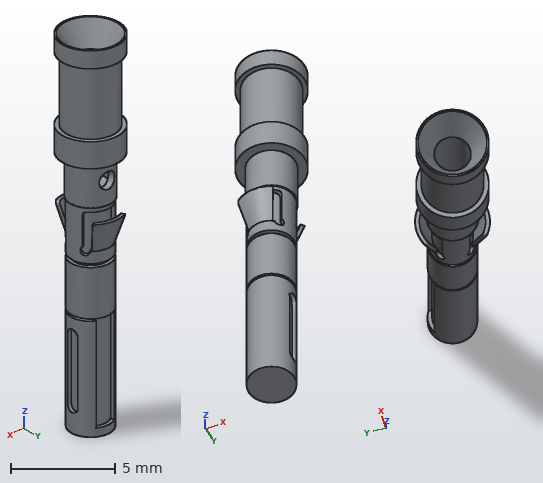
import cadquery as cq
import math

total_length = 21.5
flange_diameter = 3.5
barrel_diameter = 3.0
neck_diameter = 2.54
sleeve_diameter = 2.4
core_diameter = 1.98

end_ring_top = 0.5
socket_sleeve_top = 6.36
collar_bottom = 6.5
collar_top = 9.3
clip_bottom = 9.52
clip_top = 12.6
flange_bottom = 15.03
flange_top = 16.51
rim_bottom = 20.51

funnel_mouth_diameter = 3.31
bore_diameter = 1.76
funnel_angle = 60.0
bore_bottom = 13.33
drill_tip_angle = 118.0
inspection_hole_diameter = 0.99
inspection_hole_height = 13.95

gap_width = 1.16
side_slot_width = 0.73
side_slot_length = 4.55

tab_turn = -5.0
tab_tip_radius = 1.8
tab_top = 11.98
tab_half_angle = 34.0
tab_corner_radius = 0.17
fold_height = 10.2
window_top = 12.35
window_half_angle = 56.0
window_corner_radius = 0.22
relief_diameter = 0.47
relief_half_angle = 50.0

sleeve_radius = sleeve_diameter / 2
core_radius = core_diameter / 2
bore_radius = bore_diameter / 2
axis_start = (0, 0, 0)
axis_end = (0, 0, 1)


def cylinder(diameter, bottom, top):
    return cq.Workplane("XY", origin=(0, 0, bottom)).circle(diameter / 2).extrude(top - bottom)


def ring(outer, inner, bottom, top):
    return cylinder(outer, bottom, top).cut(cylinder(inner, bottom, top))


def stepped_body():
    steps = [
        (sleeve_diameter, 0, end_ring_top),
        (core_diameter, end_ring_top, collar_bottom),
        (sleeve_diameter, collar_bottom, collar_top),
        (core_diameter, collar_top, clip_top),
        (neck_diameter, clip_top, flange_bottom),
        (flange_diameter, flange_bottom, flange_top),
        (barrel_diameter, flange_top, rim_bottom),
        (flange_diameter, rim_bottom, total_length),
    ]
    body = cylinder(*steps[0])
    for step in steps[1:]:
        body = body.union(cylinder(*step))
    return body


def wire_bore():
    """Funnel, straight bore and conical drill tip, revolved about Z."""
    mouth_radius = funnel_mouth_diameter / 2
    funnel_depth = (mouth_radius - bore_radius) / math.tan(math.radians(funnel_angle / 2))
    tip_depth = bore_radius / math.tan(math.radians(drill_tip_angle / 2))
    profile = [
        (0, total_length),
        (mouth_radius, total_length),
        (bore_radius, total_length - funnel_depth),
        (bore_radius, bore_bottom),
        (0, bore_bottom - tip_depth),
    ]
    return cq.Workplane("XZ").polyline(profile).close().revolve(360, axis_start, (0, 1, 0))


def inspection_hole():
    """Round hole from the bore axis out through the +Y side of the neck."""
    plane = cq.Workplane("XZ", origin=(0, 0, inspection_hole_height))
    return plane.circle(inspection_hole_diameter / 2).extrude(-neck_diameter)


def socket_sleeve():
    """Thin sleeve on the socket core, with a lengthwise gap at +Y and a rounded slot at +X."""
    height = socket_sleeve_top - end_ring_top
    middle = (socket_sleeve_top + end_ring_top) / 2
    sleeve = ring(sleeve_diameter, core_diameter, end_ring_top, socket_sleeve_top)
    gap = cq.Workplane("XY").box(gap_width, sleeve_diameter, height, centered=(True, False, True))
    slot = cq.Workplane("YZ").slot2D(side_slot_length, side_slot_width, 90).extrude(sleeve_diameter)
    return sleeve.cut(gap.union(slot).translate((0, 0, middle)))


def wedge(half_angle, bottom, top):
    """Triangular prism from the axis toward -Y, reaching past the sleeve and its tabs."""
    reach = 2 * sleeve_diameter
    side = reach * math.sin(math.radians(half_angle))
    depth = reach * math.cos(math.radians(half_angle))
    base = cq.Workplane("XY", origin=(0, 0, bottom))
    return base.polyline([(0, 0), (side, -depth), (-side, -depth)]).close().extrude(top - bottom)


def relief_holes():
    """Round reliefs at both ends of the fold, drilled radially."""
    holes = cq.Workplane("XY")
    for angle in (-relief_half_angle, relief_half_angle):
        hole = cq.Workplane("XZ").circle(relief_diameter / 2).extrude(sleeve_diameter)
        holes = holes.add(hole.translate((0, 0, fold_height)).rotate(axis_start, axis_end, angle))
    return holes.combine()


def clip_window():
    """Opening through the sleeve wall, with rounded upper corners."""
    opening = ring(sleeve_diameter, core_diameter, fold_height, window_top)
    opening = opening.intersect(wedge(window_half_angle, fold_height, window_top))
    return opening.faces(">Z").edges("%LINE").fillet(window_corner_radius)


def spring_tab():
    """Conical flap continuing the sleeve wall upward and outward from the fold."""
    wall = sleeve_radius - core_radius
    profile = [
        (core_radius, fold_height),
        (sleeve_radius, fold_height),
        (tab_tip_radius, tab_top),
        (tab_tip_radius - wall, tab_top),
    ]
    flare = cq.Workplane("XZ").polyline(profile).close().revolve(360, (0, 0, 0), (0, 1, 0))
    tab = flare.intersect(wedge(tab_half_angle, fold_height, tab_top))
    return tab.faces(">Z").edges("%LINE").fillet(tab_corner_radius)


def clip_sleeve():
    sleeve = ring(sleeve_diameter, core_diameter, clip_bottom, clip_top)
    for turn in (tab_turn, tab_turn + 180):
        sleeve = sleeve.cut(clip_window().rotate(axis_start, axis_end, turn))
        sleeve = sleeve.union(spring_tab().rotate(axis_start, axis_end, turn))
        sleeve = sleeve.cut(relief_holes().rotate(axis_start, axis_end, turn))
    return sleeve


body = stepped_body().union(socket_sleeve()).union(clip_sleeve())
result = body.cut(wire_bore()).cut(inspection_hole())